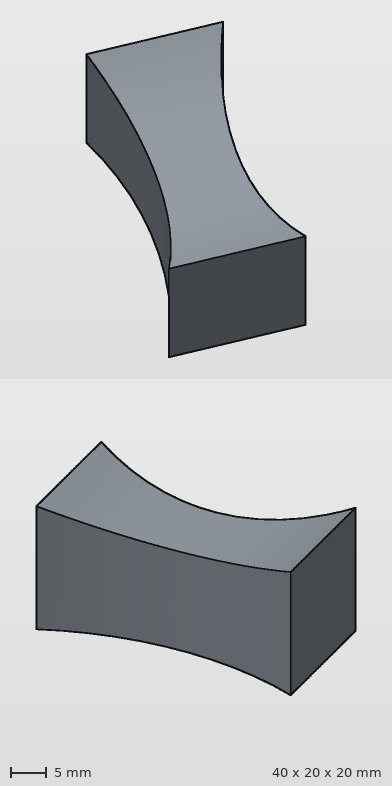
import cadquery as cq

length = 40.0
width = 20.0
height = 20.0
sag = 4.0

half_length = length / 2
half_width = width / 2
half_height = height / 2


def side_profile():
    """XZ outline with a flat base and a concave top, extruded across the width."""
    return (
        cq.Workplane("XZ")
        .moveTo(-half_length, -half_height)
        .lineTo(half_length, -half_height)
        .lineTo(half_length, half_height)
        .threePointArc((0, half_height - sag), (-half_length, half_height))
        .close()
        .extrude(half_width, both=True)
    )


def plan_profile():
    """XY outline waisted on both long sides, extruded over the height."""
    return (
        cq.Workplane("XY")
        .moveTo(-half_length, -half_width)
        .threePointArc((0, sag - half_width), (half_length, -half_width))
        .lineTo(half_length, half_width)
        .threePointArc((0, half_width - sag), (-half_length, half_width))
        .close()
        .extrude(half_height, both=True)
    )


result = side_profile().intersect(plan_profile())